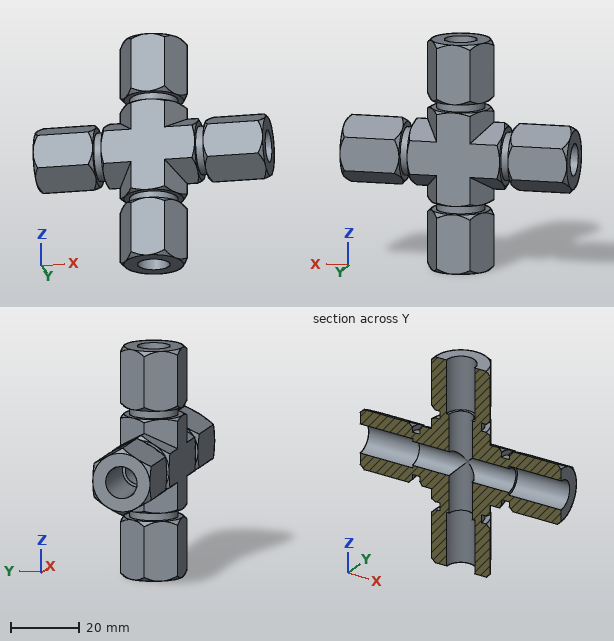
import cadquery as cq
import math

total_length = 68.6
across_flats = 17.4
nut_length = 17.8
neck_length = 2.5
neck_diameter = 14.25
tube_diameter = 9.5
bore_diameter = 7.8
nut_chamfer_angle = 45.0
body_chamfer_angle = 30.0

half_length = total_length / 2
nut_start = half_length - nut_length
body_half_length = nut_start - neck_length
across_corners = across_flats / math.cos(math.radians(30))
corner_overhang = (across_corners - across_flats) / 2


def chamfered_hexagon(bottom, top, chamfer_angle):
    """Hexagonal bar along Z, flats facing Y, its corners turned conically at both ends."""
    hexagon = (
        cq.Workplane("XY", origin=(0, 0, bottom))
        .polygon(6, across_corners)
        .extrude(top - bottom)
    )
    face_radius = across_flats / 2
    corner_radius = across_corners / 2
    chamfer_height = corner_overhang * math.tan(math.radians(chamfer_angle))
    turned_envelope = (
        cq.Workplane("XZ")
        .moveTo(0, bottom)
        .lineTo(face_radius, bottom)
        .lineTo(corner_radius, bottom + chamfer_height)
        .lineTo(corner_radius, top - chamfer_height)
        .lineTo(face_radius, top)
        .lineTo(0, top)
        .close()
        .revolve(360, (0, 0), (0, 1))
    )
    return hexagon.intersect(turned_envelope)


def cylinder(diameter, bottom, top):
    """Solid cylinder on the Z axis."""
    return cq.Workplane("XY", origin=(0, 0, bottom)).circle(diameter / 2).extrude(top - bottom)


def union_nut(bottom, top):
    return chamfered_hexagon(bottom, top, nut_chamfer_angle)


def straight_run():
    """One straight run of the cross along Z: body bar, two necks and two union nuts."""
    body = chamfered_hexagon(-body_half_length, body_half_length, body_chamfer_angle)
    necks = cylinder(neck_diameter, -nut_start, nut_start)
    upper_nut = union_nut(nut_start, half_length)
    lower_nut = union_nut(-half_length, -nut_start)
    return body.union(necks).union(upper_nut).union(lower_nut)


def straight_passage():
    """Flow bore along Z, widened to a tube socket through each nut."""
    bore = cylinder(bore_diameter, -half_length, half_length)
    upper_socket = cylinder(tube_diameter, nut_start, half_length)
    lower_socket = cylinder(tube_diameter, -half_length, -nut_start)
    return bore.union(upper_socket).union(lower_socket)


def crossed(shape):
    """Join a shape lying along Z with its copy turned to lie along X."""
    return shape.union(shape.rotate((0, 0, 0), (0, 1, 0), 90))


result = crossed(straight_run()).cut(crossed(straight_passage()))